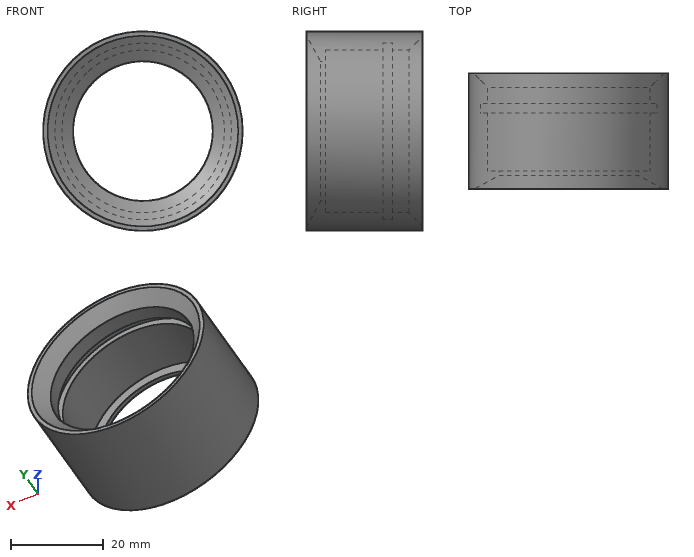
import cadquery as cq

outer_radius = 21.5
length = 25.0

rim_width = 1.0
mouth_radius = outer_radius - rim_width
mouth_depth = 3.0

lip_radius = 15.0
lip_thickness = 1.0

bore_radius = 17.5
groove_radius = 19.0
groove_width = 2.0
groove_to_back = 6.5

front_y = -length / 2
back_y = length / 2
lip_start_y = front_y + mouth_depth
lip_end_y = lip_start_y + lip_thickness
groove_end_y = back_y - groove_to_back
groove_start_y = groove_end_y - groove_width
bore_end_y = back_y - mouth_depth

wall_section = [
    (outer_radius, front_y),
    (mouth_radius, front_y),
    (lip_radius, lip_start_y),
    (lip_radius, lip_end_y),
    (bore_radius, lip_end_y),
    (bore_radius, groove_start_y),
    (groove_radius, groove_start_y),
    (groove_radius, groove_end_y),
    (bore_radius, groove_end_y),
    (bore_radius, bore_end_y),
    (mouth_radius, back_y),
    (outer_radius, back_y),
]

axis_start = (0, 0, 0)
axis_end = (0, 1, 0)
result = cq.Workplane("XY").polyline(wall_section).close().revolve(360, axis_start, axis_end)